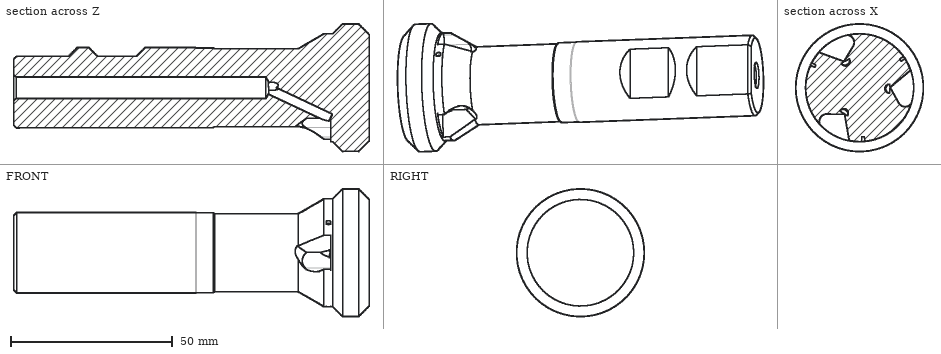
import cadquery as cq
import math

overall_length = 110.04
shank_radius = 12.5
shank_end_chamfer = 0.9

ring_start = 56.15
ring_end = 62.15
ring_radius = 12.4
ring_bevel = 0.35

neck_radius = 12.1
cone_start = 88.0
collar_start = 96.0
collar_radius = 16.75

head_radius = 19.8
head_back = 98.1
head_rim_start = 101.8
head_front_chamfer = 3.3

flat_depth = 2.7
end_flat_length = 17.0
flat_land_start = 23.2
second_flat_length = 12.1

bore_radius = 3.3
bore_mouth_radius = 4.0
bore_depth = 78.0
drill_tip_angle = 118.0
branch_radius = 1.4
branch_start = bore_depth
branch_exit = (98.0, 9.4, -0.3)

pocket_count = 3
pocket_corner = (9.5, 0.1)
floor_length = 7.7
floor_tilt = 29.0
wall_tilt = 40.0
lip_fillet = 2.2
pocket_reach = 16.0
pocket_nose = 89.3
nose_radius = 5.6
nose_offset = 3.0
nose_ramp = 49.0

dimple_radius = 0.75
dimple_depth = 1.5
dimple_x = 97.4
dimple_angle = 34.0


def make_body():
    """Shank, ring, neck, cone, collar and head as one turned profile."""
    flare_slope = 1.0
    flare_base_radius = head_radius - flare_slope * (head_rim_start - head_back)
    flare_collar_x = head_back + (collar_radius - flare_base_radius) / flare_slope
    points = [
        (0, 0),
        (0, shank_radius),
        (ring_start, shank_radius),
        (ring_start + ring_bevel, ring_radius),
        (ring_end - ring_bevel, ring_radius),
        (ring_end, neck_radius),
        (cone_start, neck_radius),
        (collar_start, collar_radius),
        (flare_collar_x, collar_radius),
        (head_rim_start, head_radius),
        (overall_length - head_front_chamfer, head_radius),
        (overall_length, head_radius - head_front_chamfer),
        (overall_length, 0),
    ]
    return cq.Workplane("XY").polyline(points).close().revolve(360, (0, 0, 0), (1, 0, 0))


def cut_flats(body):
    """Two flats with 45 degree run-outs, then the chamfer around the shank end."""
    floor_y = shank_radius - flat_depth
    second_start = flat_land_start + flat_depth
    second_end = second_start + second_flat_length
    end_flat = [
        (0, floor_y),
        (end_flat_length, floor_y),
        (end_flat_length + flat_depth, shank_radius),
        (0, shank_radius),
    ]
    second_flat = [
        (flat_land_start, shank_radius),
        (second_start, floor_y),
        (second_end, floor_y),
        (second_end + flat_depth, shank_radius),
    ]
    for outline in (end_flat, second_flat):
        cutter = cq.Workplane("XY").polyline(outline).close().extrude(shank_radius, both=True)
        body = body.cut(cutter)
    return body.faces("<X").edges().chamfer(shank_end_chamfer)


def make_bore():
    """Axial bore with a countersunk mouth and a drill-point bottom."""
    mouth_depth = bore_mouth_radius - bore_radius
    tip_length = bore_radius / math.tan(math.radians(drill_tip_angle / 2))
    points = [
        (0, 0),
        (0, bore_mouth_radius),
        (mouth_depth, bore_radius),
        (bore_depth, bore_radius),
        (bore_depth + tip_length, 0),
    ]
    return cq.Workplane("XY").polyline(points).close().revolve(360, (0, 0, 0), (1, 0, 0))


def radial_direction(angle):
    """Unit vector across the tool axis, turned from -Y toward +Z."""
    turn = math.radians(angle)
    return cq.Vector(0, -math.cos(turn), math.sin(turn))


def make_pocket():
    """Chip pocket with a flat floor, a leaning wall, a square lip and a ramped round nose."""
    corner = cq.Vector(0, -pocket_corner[0], pocket_corner[1])
    floor_normal = radial_direction(floor_tilt)
    floor_direction = radial_direction(floor_tilt - 90)
    wall_lean = math.tan(math.radians(wall_tilt - floor_tilt)) * pocket_reach

    section_plane = cq.Plane(
        origin=(corner + cq.Vector(head_back, 0, 0)).toTuple(),
        xDir=floor_direction.toTuple(),
        normal=floor_direction.cross(floor_normal).toTuple(),
    )
    section = [
        (0, 0),
        (floor_length, 0),
        (floor_length, pocket_reach),
        (-wall_lean, pocket_reach),
    ]
    pocket_length = head_back - pocket_nose + pocket_reach
    to_shank = math.copysign(pocket_length, -section_plane.zDir.x)
    channel = cq.Workplane(section_plane).polyline(section).close().extrude(to_shank)
    lip_foot = cq.Vector(head_back, 0, 0) + corner + floor_direction * floor_length
    lip_edge_middle = lip_foot - cq.Vector(pocket_length / 2, 0, 0)
    lip_edge = cq.NearestToPointSelector(lip_edge_middle.toTuple())
    channel = channel.edges(lip_edge).fillet(lip_fillet)

    ramp = math.radians(nose_ramp)
    lean_direction = floor_normal * math.cos(ramp) - cq.Vector(math.sin(ramp), 0, 0)
    nose_point = corner + floor_direction * nose_offset + cq.Vector(pocket_nose, 0, 0)
    nose_plane = cq.Plane(
        origin=nose_point.toTuple(),
        xDir=floor_direction.toTuple(),
        normal=lean_direction.toTuple(),
    )
    forward = math.copysign(1, nose_plane.yDir.x)
    nose = (
        cq.Workplane(nose_plane)
        .moveTo(-nose_radius, forward * nose_radius)
        .threePointArc((0, 0), (nose_radius, forward * nose_radius))
        .lineTo(nose_radius, forward * 2 * pocket_reach)
        .lineTo(-nose_radius, forward * 2 * pocket_reach)
        .close()
        .extrude(pocket_reach, both=True)
    )
    return channel.intersect(nose)


def make_branch():
    """Coolant branch from the bottom of the bore into the first pocket."""
    exit_x, exit_radial, exit_z = branch_exit
    path = cq.Vector(exit_x - branch_start, -exit_radial, exit_z)
    start = cq.Vector(branch_start, 0, 0)
    return cq.Workplane(cq.Solid.makeCylinder(branch_radius, path.Length, start, path))


def make_dimple():
    """Small blind radial dimple in the collar, next to the first pocket."""
    outward = radial_direction(dimple_angle)
    foot = outward * (collar_radius - dimple_depth) + cq.Vector(dimple_x, 0, 0)
    return cq.Workplane(cq.Solid.makeCylinder(dimple_radius, 2 * dimple_depth, foot, outward))


def cut_around_axis(body, cutter):
    """Cut equally spaced copies of the cutter around the tool axis."""
    for index in range(pocket_count):
        body = body.cut(cutter.rotate((0, 0, 0), (1, 0, 0), index * 360 / pocket_count))
    return body


result = cut_flats(make_body())
result = result.cut(make_bore())
result = cut_around_axis(result, make_pocket())
result = cut_around_axis(result, make_branch())
result = cut_around_axis(result, make_dimple())